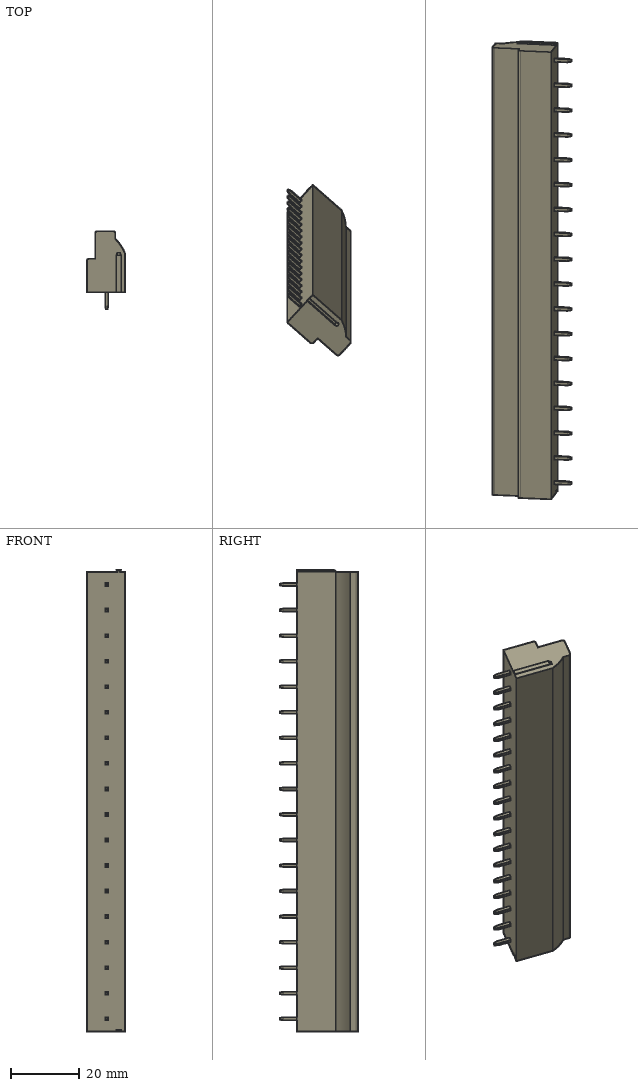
import cadquery as cq

total_length = 135.6
body_width = 11.3
body_depth = 18.0
pin_length = 5.0
pin_count = 18

ridge_height = 0.5
ridge_root_width = 0.8
ridge_crest_width = 1.4
ridge_depth = 11.7
ridge_ramp_length = 0.8
ridge_x = 9.4

shelf_width = 2.5
shelf_depth = 9.9
cap_width = 6.0
cap_side_height = 2.3
shoulder_depth = 11.4
shoulder_bulge = 0.3
edge_radius = 0.7

pin_size = 1.0
pin_tip_size = 0.5
pin_tip_length = 1.1
pin_x = 5.8

body_length = total_length - ridge_height
pin_pitch = body_length / pin_count
first_pin_z = pin_pitch / 2


def make_body():
    """Prismatic housing with a stepped -X side and a bulging shoulder on the +X side."""
    cap_right = shelf_width + cap_width
    cap_side_end = body_depth - cap_side_height
    housing = (
        cq.Workplane("XY")
        .lineTo(body_width, 0)
        .lineTo(body_width, shoulder_depth)
        .sagittaArc((cap_right, cap_side_end), -shoulder_bulge)
        .lineTo(cap_right, body_depth)
        .lineTo(shelf_width, body_depth)
        .lineTo(shelf_width, shelf_depth)
        .lineTo(0, shelf_depth)
        .close()
        .extrude(body_length)
    )
    for corner in [(shelf_width, body_depth), (cap_right, body_depth), (0, shelf_depth)]:
        middle = (corner[0], corner[1], body_length / 2)
        housing = housing.edges(cq.NearestToPointSelector(middle)).fillet(edge_radius)
    return housing


def make_ridge(base_z):
    """Dovetail bar along Y standing on base_z, starting at the pin face and ending in a ramp."""
    root = ridge_root_width / 2
    crest = ridge_crest_width / 2
    bar = (
        cq.Workplane("XZ", origin=(ridge_x, 0, base_z))
        .polyline([(-root, 0), (root, 0), (crest, ridge_height), (-crest, ridge_height)])
        .close()
        .extrude(-ridge_depth)
    )
    ramped_side = (
        cq.Workplane("YZ", origin=(ridge_x, 0, base_z))
        .polyline([
            (0, 0),
            (ridge_depth, 0),
            (ridge_depth - ridge_ramp_length, ridge_height),
            (0, ridge_height),
        ])
        .close()
        .extrude(crest, both=True)
    )
    return bar.intersect(ramped_side)


def make_pin(z):
    """Square pin from the -Y face with a tapered tip."""
    shank_length = pin_length - pin_tip_length
    shank = (
        cq.Workplane("XZ", origin=(pin_x, 0, z))
        .rect(pin_size, pin_size)
        .extrude(shank_length)
    )
    return (
        shank.faces("<Y")
        .workplane()
        .rect(pin_size, pin_size)
        .workplane(offset=pin_tip_length)
        .rect(pin_tip_size, pin_tip_size)
        .loft(combine=True)
    )


result = make_body().union(make_ridge(body_length)).cut(make_ridge(0))
for index in range(pin_count):
    result = result.union(make_pin(first_pin_z + index * pin_pitch))